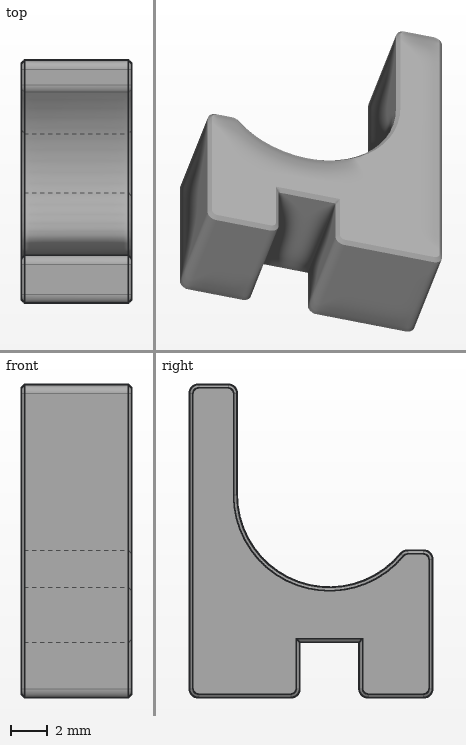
import cadquery as cq

width = 6.0
depth = 13.2
height = 17.0

wall_thickness = 2.6
cradle_radius = 5.0
cradle_floor = 6.0
shelf_height = 8.0
cradle_y = wall_thickness + cradle_radius
cradle_z = cradle_floor + cradle_radius

slot_width = 3.2
slot_height = 3.0

corner_radius = 0.5
edge_chamfer = 0.2
level_tolerance = 1e-4


def box_between(y_min, y_max, z_min, z_max):
    """Full-width block between the given Y and Z limits."""
    block = cq.Workplane("XY").box(width, y_max - y_min, z_max - z_min, centered=(True, False, False))
    return block.translate((0, y_min, z_min))


def cut_cradle(body):
    """Remove the round seat and the open space above it and the shelf."""
    seat = (
        cq.Workplane("YZ")
        .center(cradle_y, cradle_z)
        .circle(cradle_radius)
        .extrude(width / 2, both=True)
    )
    above_seat = box_between(wall_thickness, depth, cradle_z, height)
    above_shelf = box_between(cradle_y, depth, shelf_height, height)
    return body.cut(seat).cut(above_seat).cut(above_shelf)


def cut_slot(body):
    """Remove the rectangular slot from the underside."""
    half_slot = slot_width / 2
    return body.cut(box_between(cradle_y - half_slot, cradle_y + half_slot, 0, slot_height))


def round_outer_corners(body):
    """Round the X-running edges on the bottom, shelf and wall-top faces."""
    levels = (0, shelf_height, height)

    def lies_on_level(edge):
        return any(abs(edge.Center().z - level) < level_tolerance for level in levels)

    return body.edges("|X").filter(lies_on_level).fillet(corner_radius)


def chamfer_side_faces(body):
    """Chamfer the whole outline of both flat X faces."""
    return body.faces("<X or >X").edges().chamfer(edge_chamfer)


body = box_between(0, depth, 0, height)
body = cut_cradle(body)
body = cut_slot(body)
body = round_outer_corners(body)
result = chamfer_side_faces(body)